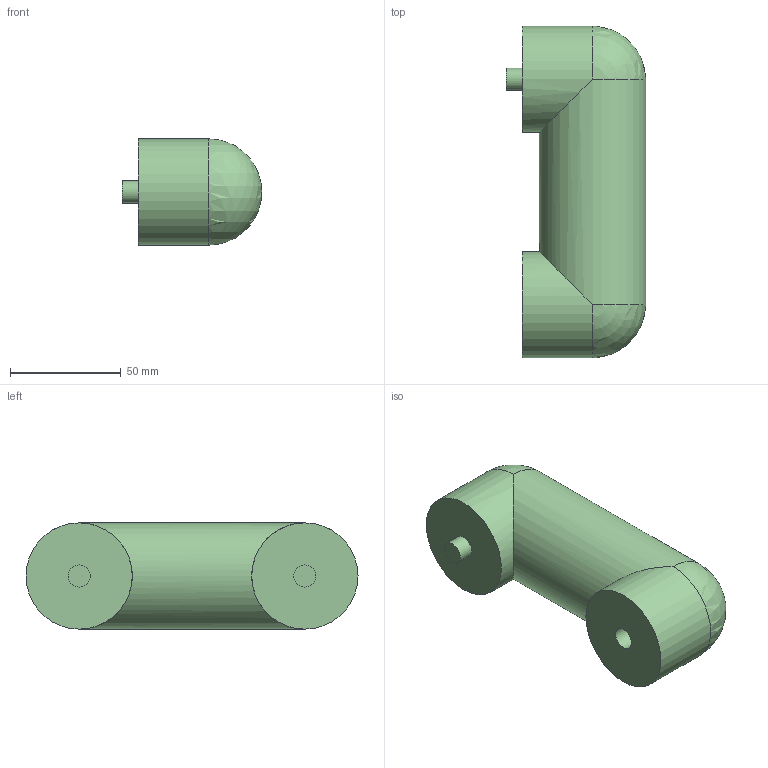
import cadquery as cq

bar_diameter = 48.0
overall_length = 150.0
leg_length = 31.7
peg_diameter = 10.0
peg_length = 7.3
hole_diameter = peg_diameter
hole_depth = peg_length

bar_radius = bar_diameter / 2
leg_spacing = overall_length - bar_diameter
leg_y = leg_spacing / 2
end_face_x = -leg_length


def rod_along_x(start_x, y, diameter, length):
    """Cylinder parallel to X, running toward +X from start_x."""
    return cq.Workplane("YZ", origin=(start_x, y, 0)).circle(diameter / 2).extrude(length)


def make_grip():
    """Straight bar along Y between the two leg axes."""
    return cq.Workplane("XZ").circle(bar_radius).extrude(leg_y, both=True)


def make_leg(y):
    """Leg along X whose corner with the grip is rounded by a ball."""
    leg = rod_along_x(end_face_x, y, bar_diameter, leg_length)
    corner_ball = cq.Workplane("XY", origin=(0, y, 0)).sphere(bar_radius)
    return leg.union(corner_ball)


handle = make_grip()
for y in (-leg_y, leg_y):
    handle = handle.union(make_leg(y))

peg = rod_along_x(end_face_x - peg_length, leg_y, peg_diameter, peg_length + leg_length)

hole = rod_along_x(end_face_x, -leg_y, hole_diameter, hole_depth)

result = handle.union(peg).cut(hole)